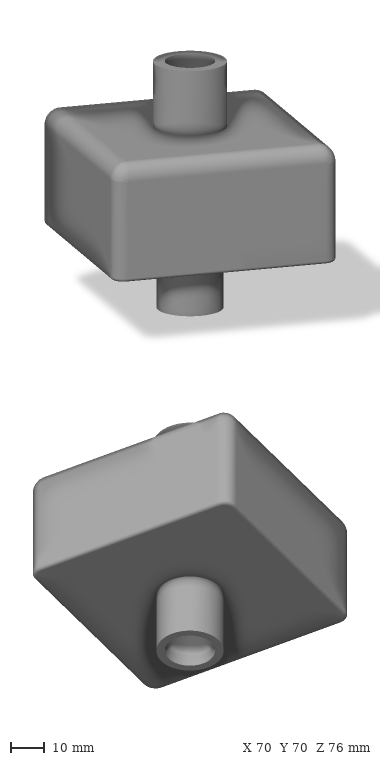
import cadquery as cq

box_side = 70.0
box_height = 36.0
corner_radius = 4.0
top_edge_radius = 5.0
bottom_edge_radius = 1.0

tube_length = 20.0
bore_diameter = 15.0
inlet_diameter = 22.0
outlet_diameter = 20.0


def make_box():
    """Rounded block standing on Z = 0, bored through along Z."""
    block = cq.Workplane("XY").box(box_side, box_side, box_height, centered=(True, True, False))
    block = block.faces(">Z").edges().fillet(top_edge_radius)
    block = block.edges("|Z").fillet(corner_radius)
    block = block.faces("<Z").edges().fillet(bottom_edge_radius)
    return block.faces("<Z").workplane().hole(bore_diameter)


def make_tube(outer_diameter, base_z):
    """Plain tube on the Z axis, rising from base_z."""
    return (
        cq.Workplane("XY")
        .workplane(offset=base_z)
        .circle(outer_diameter / 2)
        .circle(bore_diameter / 2)
        .extrude(tube_length)
    )


box = make_box()
inlet_tube = make_tube(inlet_diameter, box_height)
outlet_tube = make_tube(outlet_diameter, -tube_length)

result = cq.Compound.makeCompound([box.val(), inlet_tube.val(), outlet_tube.val()])